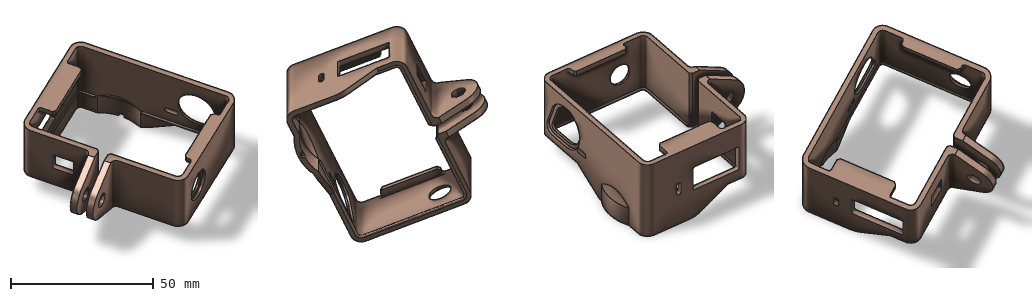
import cadquery as cq
import math


frame_length = 63.2
frame_width = 45.8
frame_height = 24.15
wall = 2.0
corner_radius = 4.0
half_length = frame_length / 2
half_width = frame_width / 2

skirt_depth = 8.0
skirt_end_x = 9.05
skirt_end_y = -13.0
skirt_slope = math.radians(30)
skirt_radius = 9.95

bulge_x = -13.7
bulge_depth = 2.0
bulge_chord = 16.7
bulge_radius = ((bulge_chord / 2) ** 2 + bulge_depth ** 2) / (2 * bulge_depth)
bulge_shoulder_z = -0.25
bulge_top_z = 3.05
notch_width = 2.0
notch_height = 1.55
notch_depth = 1.0

bead_radius = 0.55
bead_z = 0.29
pocket_lift = bead_z + bead_radius - bulge_shoulder_z

ear_thickness = 2.6
ear_gap = 3.6
ear_root = 2.0
ear_reach = 16.9
ear_tip_radius = 7.45
ear_hole_diameter = 5.3
ear_root_fillet = 2.0
gap_chamfer = 0.9
ear_outer_x = ear_gap / 2 + ear_thickness

tab_length = 23.05
left_tab_reach = 8.15
right_tab_reach = 5.0
tab_thickness = 2.0
tab_tip_chamfer = 1.0
tab_root_fillet = 1.0

window_radius = 0.65
front_window = (8.0, 7.0)
front_window_centre = (-14.95, 12.05)
left_window = (19.8, 10.2)
left_window_centre = (-7.9, 9.45)
slot_length = 5.2
slot_width = 2.1
left_slot_centre = (8.3, 7.8)
back_slot_centre = (6.6, 6.1)
right_hole_diameter = 8.5
right_hole_centre = (-10.4, 10.75)
button_centre = (16.25, 11.45)
button_radius = 7.1
button_corner_centre = (24.2, 5.95)
button_corner_radius = 1.6
opening_lip = 0.9
recess_margin = 1.55


def rounded_block(inset, bottom, top):
    """Upright block with the frame's rounded footprint, moved inwards by inset."""
    return (
        cq.Workplane("XY", origin=(0, 0, bottom))
        .rect(frame_length - 2 * inset, frame_width - 2 * inset)
        .extrude(top - bottom)
        .edges("|Z")
        .fillet(corner_radius - inset)
    )


def bulge_body(offset, lift):
    """Round body with a cone on top, standing out of the back wall.

    It is moved inwards by offset, and its cone is raised by lift.
    """
    top_radius = bulge_radius - bulge_depth
    axis_y = half_width - top_radius - offset
    body = (
        cq.Workplane("XZ")
        .moveTo(0, -skirt_depth)
        .lineTo(bulge_radius, -skirt_depth)
        .lineTo(bulge_radius, bulge_shoulder_z + lift)
        .lineTo(top_radius, bulge_top_z + lift)
        .lineTo(0, bulge_top_z + lift)
        .close()
        .revolve(360, (0, 0, 0), (0, 1, 0))
        .translate((bulge_x, axis_y, 0))
    )
    near_back_wall = (
        cq.Workplane("XY")
        .box(1.5 * bulge_chord, 4 * wall, 4 * skirt_depth)
        .translate((bulge_x, half_width, 0))
    )
    return body.intersect(near_back_wall)


def skirt_cutter(plane, slope_end, far_end):
    """Space below a wall: a slope, rounded where it meets the skirt's lower edge."""
    direction = math.copysign(1, far_end - slope_end)
    corner = slope_end - direction * skirt_depth / math.tan(skirt_slope)
    tangent = skirt_radius * math.tan(skirt_slope / 2)
    arc_start = corner - direction * tangent
    arc_centre_z = skirt_radius - skirt_depth

    def arc_point(angle):
        return (
            arc_start + direction * skirt_radius * math.sin(angle),
            arc_centre_z - skirt_radius * math.cos(angle),
        )

    return (
        cq.Workplane(plane)
        .moveTo(arc_start, -skirt_depth)
        .threePointArc(arc_point(skirt_slope / 2), arc_point(skirt_slope))
        .lineTo(slope_end, 0)
        .lineTo(far_end, 0)
        .lineTo(far_end, -skirt_depth)
        .close()
        .extrude(frame_length, both=True)
    )


def bead():
    """Round bead along the inner faces of the walls, open where the ear gap passes through."""
    x = half_length - wall
    y = half_width - wall
    radius = corner_radius - wall
    end_x = ear_gap / 4
    path = (
        cq.Workplane("XY", origin=(0, 0, bead_z))
        .moveTo(end_x, -y)
        .lineTo(x - radius, -y)
        .tangentArcPoint((radius, radius))
        .lineTo(x, y - radius)
        .tangentArcPoint((-radius, radius))
        .lineTo(radius - x, y)
        .tangentArcPoint((-radius, -radius))
        .lineTo(-x, radius - y)
        .tangentArcPoint((radius, -radius))
        .lineTo(-end_x, -y)
    )
    return cq.Workplane("YZ", origin=(end_x, -y, bead_z)).circle(bead_radius).sweep(path)


def ears():
    """Two ears with a shared hole, joined to the front wall by concave fillets."""
    front_y = -half_width
    centre_y = front_y - ear_reach + ear_tip_radius
    centre_z = frame_height / 2
    root_y = front_y - ear_root

    run = centre_y - root_y
    distance = math.hypot(run, centre_z)
    angle = math.atan2(centre_z, -run) + math.acos(ear_tip_radius / distance)
    tangent_y = centre_y + ear_tip_radius * math.cos(angle)
    tangent_z = ear_tip_radius * math.sin(angle)

    side = (
        cq.Workplane("YZ")
        .moveTo(front_y + wall, 0)
        .lineTo(root_y, 0)
        .lineTo(tangent_y, centre_z - tangent_z)
        .threePointArc((front_y - ear_reach, centre_z), (tangent_y, centre_z + tangent_z))
        .lineTo(root_y, frame_height)
        .lineTo(front_y + wall, frame_height)
        .close()
        .extrude(ear_outer_x, both=True)
    )
    hole = (
        cq.Workplane("YZ")
        .center(centre_y, centre_z)
        .circle(ear_hole_diameter / 2)
        .extrude(ear_outer_x, both=True)
    )
    root = (
        cq.Workplane("XY")
        .center(0, front_y)
        .rect(2 * (ear_outer_x + ear_root_fillet), 2 * ear_root_fillet)
        .extrude(frame_height)
    )
    hollows = (
        cq.Workplane("XY")
        .pushPoints([(s * (ear_outer_x + ear_root_fillet), front_y - ear_root_fillet) for s in (-1, 1)])
        .circle(ear_root_fillet)
        .extrude(frame_height)
    )
    return side.union(root.cut(hollows)).cut(hole)


def ear_gap_cutter():
    """Gap between the ears, flared by a chamfer at the inner face of the front wall."""
    half_gap = ear_gap / 2
    flare_y = -half_width + wall - gap_chamfer
    flare_end = 2 * wall
    return (
        cq.Workplane("XY", origin=(0, 0, -skirt_depth))
        .moveTo(half_gap, -half_width - ear_reach)
        .lineTo(half_gap, flare_y)
        .lineTo(half_gap + flare_end, flare_y + flare_end)
        .lineTo(-half_gap - flare_end, flare_y + flare_end)
        .lineTo(-half_gap, flare_y)
        .lineTo(-half_gap, -half_width - ear_reach)
        .close()
        .extrude(skirt_depth + frame_height)
    )


def vertical_edges_at(body, x, y):
    """The body's vertical edges at this X and at plus and minus this Y."""
    margin = 0.05
    near = cq.selectors.BoxSelector(
        (x - margin, -y - margin, -frame_height),
        (x + margin, y + margin, frame_height),
    )
    return body.edges("|Z").edges(near)


def tab(side, reach):
    """Tab at the top of a side wall; side is -1 for the left wall and +1 for the right."""
    outer_x = half_length - wall / 2
    inner_x = half_length - wall
    tip_x = half_length - reach
    half_tab = tab_length / 2
    root_end = half_tab + 2 * tab_root_fillet
    body = (
        cq.Workplane("XY", origin=(0, 0, frame_height - tab_thickness))
        .moveTo(outer_x, -root_end)
        .lineTo(inner_x, -root_end)
        .lineTo(inner_x, -half_tab)
        .lineTo(tip_x, -half_tab)
        .lineTo(tip_x, half_tab)
        .lineTo(inner_x, half_tab)
        .lineTo(inner_x, root_end)
        .lineTo(outer_x, root_end)
        .close()
        .extrude(tab_thickness)
    )
    body = vertical_edges_at(body, tip_x, half_tab).chamfer(tab_tip_chamfer)
    body = vertical_edges_at(body, inner_x, half_tab).fillet(tab_root_fillet)
    return body if side > 0 else body.mirror("YZ")


def window(plane, size, centre):
    """Rectangular opening with rounded corners."""
    width, height = size
    outline = cq.Sketch().rect(width, height).vertices().fillet(window_radius)
    return cq.Workplane(plane).center(*centre).placeSketch(outline).extrude(wall, both=True)


def slot(plane, centre, angle):
    """Round-ended opening."""
    return cq.Workplane(plane).center(*centre).slot2D(slot_length, slot_width, angle).extrude(wall, both=True)


def recessed(opening, outer_face, inward):
    """Opening with a wider recess on the outer face, which leaves a thin lip around it.

    The opening reaches one wall thickness beyond the outer face; inward is +1 or -1
    along the normal of the plane it was drawn on.
    """
    recess = (
        opening.faces(outer_face)
        .wires()
        .toPending()
        .offset2D(recess_margin)
        .extrude(inward * (2 * wall - opening_lip), combine=False)
    )
    return opening.union(recess)


def right_hole():
    """Round hole, recessed on the outer face of the right wall."""
    circle = cq.Workplane("YZ").center(*right_hole_centre).circle(right_hole_diameter / 2)
    return recessed(circle.extrude(wall, both=True), ">X", -1)


def button_opening():
    """Circle drawn out to a rounded lower right corner, recessed on the outer face of the back wall."""
    outline = (
        cq.Sketch()
        .push([button_centre])
        .circle(button_radius)
        .reset()
        .push([button_corner_centre])
        .circle(button_corner_radius)
        .reset()
        .hull()
    )
    opening = cq.Workplane("XZ").placeSketch(outline).extrude(wall, both=True)
    return recessed(opening, ">Y", 1)


def bulge_notch():
    """Shallow notch at the foot of the lens pocket."""
    depth = bulge_depth + notch_depth
    return (
        cq.Workplane("XY", origin=(bulge_x, half_width - wall, -skirt_depth))
        .rect(notch_width, 2 * depth)
        .extrude(notch_height)
    )


result = rounded_block(0, -skirt_depth, frame_height)
result = result.union(bulge_body(0, 0))
result = result.cut(rounded_block(wall, -skirt_depth, frame_height))
result = result.cut(skirt_cutter("XZ", skirt_end_x, frame_length))
result = result.cut(skirt_cutter("YZ", skirt_end_y, -frame_length))

result = result.union(ears()).union(bead()).cut(ear_gap_cutter())
result = result.union(tab(-1, left_tab_reach))
result = result.union(tab(1, right_tab_reach))

result = result.cut(bulge_body(wall, pocket_lift)).cut(bulge_notch())

front = (0, -half_width, 0)
back = (0, half_width, 0)
left = (-half_length, 0, 0)
right = (half_length, 0, 0)
result = result.cut(window("XZ", front_window, front_window_centre).translate(front))
result = result.cut(button_opening().translate(back))
result = result.cut(slot("XZ", back_slot_centre, 0).translate(back))
result = result.cut(window("YZ", left_window, left_window_centre).translate(left))
result = result.cut(slot("YZ", left_slot_centre, 90).translate(left))
result = result.cut(right_hole().translate(right))